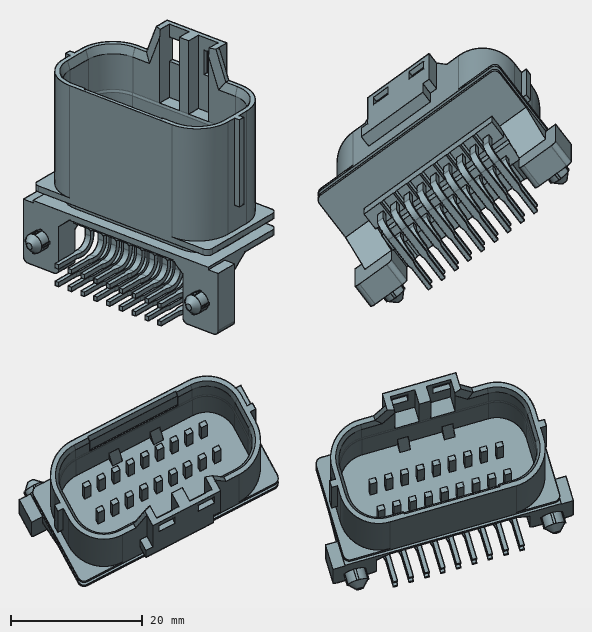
import cadquery as cq
import math


total_height = 38.3
shroud_top = 33.3
floor_level = 13.98
flange_thickness = 1.05
upper_flange_bottom = floor_level - flange_thickness
lower_flange_top = 11.15
lower_flange_bottom = lower_flange_top - flange_thickness

body_depth = 16.5
center_y = body_depth / 2
flange_width = 34.15
flange_corner_radius = 1.0
neck_width = 30.05
neck_depth = 12.5
neck_radius = 4.6
neck_center_y = 8.2

shroud_width = 32.1
shroud_radius = 6.05
lip_wall = 0.75
upper_wall = 1.25
lower_wall = 1.38
lead_in_height = 1.45
step_top = 25.7
step_height = 0.45
front_relief_width = 15.1
front_relief_depth = 0.2
side_rib_width = 1.07
side_rib_reach = 16.95
side_rib_center_y = 8.15
side_rib_bottom = 18.3

floor_rib_width = 1.7
floor_rib_offset = 3.52
floor_rib_depth = 1.25
floor_rib_height = 3.83

latch_bottom = side_rib_bottom
tower_width = 11.65
tower_back = 18.4
tower_overhang_bottom = 23.32
latch_foot_shift = 1.2
wing_width = 15.47
wing_root = 28.72
pocket_inner = 0.92
pocket_outer = 4.75
pocket_back = 17.58
window_inner = 2.0
window_bottom = 31.9
window_top = 36.08

foot_reach = 19.0
foot_inner = 12.1
foot_depth = 4.0
foot_top = 10.72
foot_radius = 0.9
web_width = 2.03
web_bottom = 8.3
gusset_back = 8.92
gusset_bottom = 6.2

peg_offset = 15.55
peg_level = 4.95
peg_radius = 1.57
peg_tip_radius = 0.55
peg_shoulder = 1.75
peg_length = 2.85
peg_rib_width = 0.4
peg_rib_radius = 1.72

lead_span = 20.0
leads_per_row = 9
lead_pitch = lead_span / (leads_per_row - 1)
lead_rows = [(4.83, 3.45), (9.2, 0.42)]
lead_width = 1.07
lead_thickness = 0.75
lead_bend_radius = 2.3
lead_end = 3.03
lead_tip_level = 21.85
tail_width = 0.7
tail_taper_start = 1.9
tail_taper_end = 1.23

support_bars = [(3.52, 6.47, 7.45), (7.93, 10.88, 6.85)]
ridge_half_width = 0.35
ridge_height = 0.3


def box(x_range, y_range, z_range):
    """Box spanning three (low, high) ranges."""
    size = [high - low for low, high in (x_range, y_range, z_range)]
    corner = (x_range[0], y_range[0], z_range[0])
    return cq.Workplane("XY").box(*size, centered=False).translate(corner)


def rounded_slab(width, depth, radius, middle_y, bottom, top):
    """Vertical-sided slab with rounded corners."""
    slab = cq.Workplane("XY").box(width, depth, top - bottom, centered=(True, True, False))
    return slab.edges("|Z").fillet(radius).translate((0, middle_y, bottom))


def profile_along_y(points, y_front, y_back):
    """Extrude an (x, z) outline from y_front to y_back."""
    plane = cq.Workplane("XZ", origin=(0, y_back, 0))
    return plane.polyline(points).close().extrude(y_back - y_front)


def profile_along_x(points, x_low, x_high):
    """Extrude a (y, z) outline from x_low to x_high."""
    plane = cq.Workplane("YZ", origin=(x_low, 0, 0))
    return plane.polyline(points).close().extrude(x_high - x_low)


def both_sides(shape):
    """The shape together with its mirror image across X = 0."""
    return shape.union(shape.mirror("YZ"))


def cavity_sketch(wall):
    """Inner outline of the shroud at a given wall thickness."""
    width = shroud_width - 2 * wall
    depth = body_depth - 2 * wall
    return cq.Sketch().rect(width, depth).vertices().fillet(shroud_radius - wall)


def cavity_section(wall_bottom, wall_top, bottom, top):
    """Part of the cavity whose wall thickness changes from bottom to top."""
    plane = cq.Workplane("XY", origin=(0, center_y, bottom))
    lower = cavity_sketch(wall_bottom)
    if wall_bottom == wall_top:
        return plane.placeSketch(lower).extrude(top - bottom)
    upper = cavity_sketch(wall_top).moved(cq.Location(cq.Vector(0, 0, top - bottom)))
    return plane.placeSketch(lower, upper).loft()


def make_body():
    """Flanges, neck and the solid outside of the shroud."""
    upper_flange = rounded_slab(
        flange_width, body_depth, flange_corner_radius, center_y, upper_flange_bottom, floor_level
    )
    shroud = rounded_slab(
        shroud_width, body_depth, shroud_radius, center_y, floor_level, shroud_top
    )
    neck = rounded_slab(
        neck_width, neck_depth, neck_radius, neck_center_y, lower_flange_top, upper_flange_bottom
    )
    lower_flange = box(
        (-flange_width / 2, flange_width / 2), (0, body_depth), (lower_flange_bottom, lower_flange_top)
    )
    lower_flange = lower_flange.edges("|Z and >Y").fillet(flange_corner_radius)
    side_ribs = box(
        (-side_rib_reach, side_rib_reach),
        (side_rib_center_y - side_rib_width / 2, side_rib_center_y + side_rib_width / 2),
        (side_rib_bottom, shroud_top),
    )
    return upper_flange.union(shroud).union(neck).union(lower_flange).union(side_ribs)


def make_cavity():
    """Shroud cavity: narrow bottom, small step, wide top, flared mouth and front relief."""
    step_bottom = step_top - step_height
    lead_in_bottom = shroud_top - lead_in_height
    cavity = cavity_section(lower_wall, lower_wall, floor_level, step_bottom)
    cavity = cavity.union(cavity_section(lower_wall, upper_wall, step_bottom, step_top))
    cavity = cavity.union(cavity_section(upper_wall, upper_wall, step_top, lead_in_bottom))
    cavity = cavity.union(cavity_section(upper_wall, lip_wall, lead_in_bottom, shroud_top))
    relief_lip = lip_wall - front_relief_depth
    relief_wall = upper_wall - front_relief_depth
    relief = [
        (center_y, step_top),
        (relief_wall, step_top),
        (relief_wall, lead_in_bottom),
        (relief_lip, shroud_top),
        (center_y, shroud_top),
    ]
    return cavity.union(profile_along_x(relief, -front_relief_width / 2, front_relief_width / 2))


def make_floor_ribs():
    """Four sloping ribs where the cavity floor meets the front and back walls."""
    x_low = floor_rib_offset - floor_rib_width / 2
    profile = [
        (lower_wall, floor_level),
        (lower_wall + floor_rib_depth, floor_level),
        (lower_wall, floor_level + floor_rib_height),
    ]
    front = both_sides(profile_along_x(profile, x_low, x_low + floor_rib_width))
    return front.union(front.mirror("XZ", (0, center_y, 0)))


def make_latch_tower():
    """Tower behind the shroud, with sloping wings that raise the back wall."""
    half = tower_width / 2
    lip_y = body_depth - lip_wall
    tower = box((-half, half), (lip_y, tower_back), (tower_overhang_bottom, total_height))
    latch_foot = box(
        (-half + latch_foot_shift, half + latch_foot_shift),
        (lip_y, tower_back),
        (latch_bottom, tower_overhang_bottom),
    )
    wing_slope = (wing_width - tower_width) / 2 / (total_height - shroud_top)
    root_half = wing_width / 2 + wing_slope * (shroud_top - wing_root)
    peak = 2 * total_height - shroud_top
    peak_half = half - wing_slope * (peak - total_height)
    outline = [
        (-root_half, wing_root),
        (root_half, wing_root),
        (peak_half, peak),
        (-peak_half, peak),
    ]
    taper_depth = upper_wall - lip_wall
    taper = math.degrees(math.atan2(lead_in_height, taper_depth))
    lip_plane = cq.Workplane("XZ", origin=(0, lip_y, 0))
    tapered = lip_plane.polyline(outline).close().extrude(taper_depth, taper=taper)
    wings = profile_along_y(outline, lip_y, body_depth).union(tapered)
    keep = box((-root_half, root_half), (0, tower_back), (wing_root, total_height))
    return tower.union(latch_foot).union(wings.intersect(keep))


def make_latch_openings():
    """Two pockets open to the cavity, each with a window through the tower back."""
    pocket = box((pocket_inner, pocket_outer), (center_y, pocket_back), (step_top, total_height))
    window = box((window_inner, pocket_outer), (center_y, tower_back), (window_bottom, window_top))
    return both_sides(pocket.union(window))


def make_foot():
    """Right-hand mounting foot with its corner web, gusset and locating peg."""
    foot = box((foot_inner, foot_reach), (0, foot_depth), (0, foot_top))
    foot = foot.edges("|Y and <Z").fillet(foot_radius)
    web = [
        (foot_inner, web_bottom),
        (foot_inner, lower_flange_bottom),
        (foot_inner - web_width, lower_flange_bottom),
    ]
    gusset = [
        (foot_depth, gusset_bottom),
        (gusset_back, lower_flange_bottom),
        (foot_depth, lower_flange_bottom),
    ]
    foot = foot.union(profile_along_y(web, 0, foot_depth))
    foot = foot.union(profile_along_x(gusset, foot_inner, flange_width / 2))
    return foot.union(make_peg())


def make_peg():
    """Peg with a conical tip and four crush ribs."""
    profile = [
        (0, 0),
        (peg_radius, 0),
        (peg_radius, -peg_shoulder),
        (peg_tip_radius, -peg_length),
        (0, -peg_length),
    ]
    peg = cq.Workplane("XY").polyline(profile).close().revolve(360, (0, 0, 0), (0, 1, 0))
    for span, height in ((2 * peg_rib_radius, peg_rib_width), (peg_rib_width, 2 * peg_rib_radius)):
        peg = peg.union(cq.Workplane("XZ").rect(span, height).extrude(peg_shoulder))
    return peg.translate((peg_offset, 0, peg_level))


def make_support_bar(front, back, underside):
    """Bar below the lower flange with a small V ridge between neighbouring leads."""
    bar = box((-foot_inner, foot_inner), (front, back), (underside, lower_flange_bottom))
    for gap in range(leads_per_row - 1):
        x = (gap - (leads_per_row - 2) / 2) * lead_pitch
        ridge = [
            (x - ridge_half_width, underside),
            (x, underside - ridge_height),
            (x + ridge_half_width, underside),
        ]
        bar = bar.union(profile_along_y(ridge, front, back))
    return bar


def make_lead(row_y, tail_level):
    """Lead running down from the cavity, bent forward and narrowed to its tail."""
    half = lead_thickness / 2
    outer = lead_bend_radius + half
    inner = lead_bend_radius - half
    bend_y = row_y - lead_bend_radius
    bend_z = tail_level + lead_bend_radius
    diagonal = math.sqrt(0.5)
    side = (
        cq.Workplane("YZ", origin=(-lead_width / 2, 0, 0))
        .moveTo(row_y + half, lead_tip_level)
        .lineTo(row_y + half, bend_z)
        .threePointArc((bend_y + outer * diagonal, bend_z - outer * diagonal), (bend_y, bend_z - outer))
        .lineTo(-lead_end, tail_level - half)
        .lineTo(-lead_end, tail_level + half)
        .lineTo(bend_y, tail_level + half)
        .threePointArc((bend_y + inner * diagonal, bend_z - inner * diagonal), (row_y - half, bend_z))
        .lineTo(row_y - half, lead_tip_level)
        .close()
        .extrude(lead_width)
    )
    waste = [
        (lead_width / 2, tail_taper_start),
        (tail_width / 2, tail_taper_end),
        (tail_width / 2, -lead_end),
        (lead_width / 2, -lead_end),
    ]
    trim = cq.Workplane("XY").polyline(waste).close().extrude(lower_flange_bottom)
    return side.cut(both_sides(trim))


def make_lead_row(row_y, tail_level):
    """One row of evenly spaced leads."""
    lead = make_lead(row_y, tail_level)
    row = cq.Workplane("XY")
    for index in range(leads_per_row):
        x = (index - (leads_per_row - 1) / 2) * lead_pitch
        row = row.add(lead.translate((x, 0, 0)))
    return row.combine()


result = make_body().cut(make_cavity())
result = result.union(make_latch_tower()).cut(make_latch_openings())
result = result.union(make_floor_ribs()).union(both_sides(make_foot()))
for bar_front, bar_back, bar_underside in support_bars:
    result = result.union(make_support_bar(bar_front, bar_back, bar_underside))
for lead_y, lead_tail_level in lead_rows:
    result = result.union(make_lead_row(lead_y, lead_tail_level))